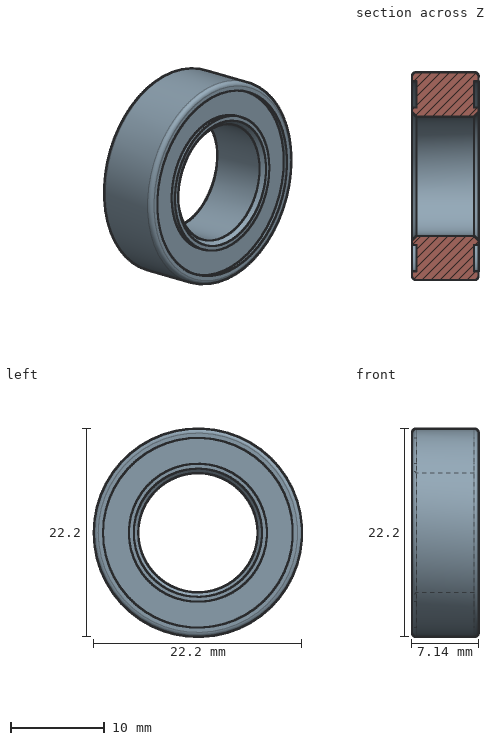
import cadquery as cq

outer_diameter = 22.23
width = 7.14
bore_diameter = 12.7
rim_fillet = 0.5
bore_chamfer = 0.5

recess_outer_diameter = 20.23
recess_inner_diameter = 14.72
recess_depth = 0.5


def ring(outer, inner, length, start):
    """Return a ring along X that begins at the given X position."""
    return (
        cq.Workplane("YZ", origin=(start, 0, 0))
        .circle(outer / 2)
        .circle(inner / 2)
        .extrude(length)
    )


bearing = ring(outer_diameter, bore_diameter, width, -width / 2)
outer_rims = cq.selectors.RadiusNthSelector(1)
bore_mouths = cq.selectors.RadiusNthSelector(0)
bearing = bearing.faces("<X or >X").edges(outer_rims).fillet(rim_fillet)
bearing = bearing.faces("<X or >X").edges(bore_mouths).chamfer(bore_chamfer)

for start in (-width / 2, width / 2 - recess_depth):
    recess = ring(recess_outer_diameter, recess_inner_diameter, recess_depth, start)
    bearing = bearing.cut(recess)

result = bearing